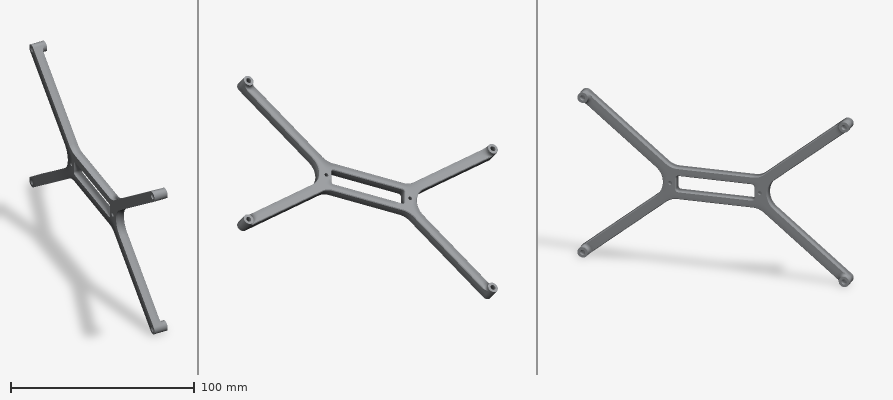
import cadquery as cq
import math

tip_x = 75.0
tip_z = 45.0
boss_radius = 3.0
boss_height = 8.0
boss_hole_diameter = 3.0
boss_fillet_radius = 1.5

plate_thickness = 5.0
back_edge_chamfer = 0.4
bar_half_height = 9.0
arm_width = 2 * boss_radius
arm_root_x = 25.0
arm_root_z = 5.0
shoulder_radius = 10.0
hub_half_length = 30.0

slot_length = 45.0
slot_height = 9.0
slot_corner_radius = 1.5
hub_hole_x = 25.7
hub_hole_diameter = 2.2

arm_angle = math.atan2(tip_z - arm_root_z, tip_x - arm_root_x)
arm_slope = math.tan(arm_angle)
edge_rise = arm_width / 2 / math.cos(arm_angle)
normal_x = math.sin(arm_angle) * arm_width / 2
normal_z = math.cos(arm_angle) * arm_width / 2
shoulder_x = arm_root_x + (bar_half_height - arm_root_z - edge_rise) / arm_slope
crotch_x = arm_root_x - (arm_root_z - edge_rise) / arm_slope

crotch_radius = (hub_half_length - crotch_x) / (1 / math.sin(arm_angle) - 1)

sides = (-1, 1)
tip_points = [(side_x * tip_x, side_z * tip_z) for side_x in sides for side_z in sides]
hub_points = [(side_x * hub_hole_x, 0) for side_x in sides]


def front_plane():
    """Plane of the front face: local axes +X and +Z, with its normal along -Y."""
    return cq.Workplane("XZ")


def extrude_back(sketch, depth):
    """Extrude a front-face outline toward +Y."""
    return sketch.extrude(-depth)


def cut_round_holes(body, points, diameter):
    """Cut straight through holes along Y."""
    holes = front_plane().pushPoints(points).circle(diameter / 2)
    return body.cut(extrude_back(holes, boss_height))


def make_half_frame(side):
    """One end of the frame: half of the bar, the hub and two arms with square ends at the tips."""
    outline = [
        (0, bar_half_height),
        (side * shoulder_x, bar_half_height),
        (side * (tip_x - normal_x), tip_z + normal_z),
        (side * (tip_x + normal_x), tip_z - normal_z),
        (side * crotch_x, 0),
    ]
    mirrored = [(x, -z) for x, z in reversed(outline[:-1])]
    half = extrude_back(front_plane().polyline(outline + mirrored).close(), plate_thickness)

    def edge_at(x, z):
        """Select the edge along Y at the given distance from the middle of the bar."""
        return cq.selectors.NearestToPointSelector((side * x, plate_thickness / 2, z))

    half = half.edges(edge_at(crotch_x, 0)).fillet(crotch_radius)
    for z in (bar_half_height, -bar_half_height):
        half = half.edges(edge_at(shoulder_x, z)).fillet(shoulder_radius)
    return half


def make_boss_flare():
    """Concave flare at the foot of a boss, centred on the Y axis and solid down to the front face."""
    outer_radius = boss_radius + boss_fillet_radius
    top_y = plate_thickness + boss_fillet_radius
    arc_offset = boss_fillet_radius * (1 - math.cos(math.radians(45)))
    arc_middle = (boss_radius + arc_offset, plate_thickness + arc_offset)
    profile = (
        cq.Workplane("XY")
        .moveTo(0, 0)
        .lineTo(outer_radius, 0)
        .lineTo(outer_radius, plate_thickness)
        .threePointArc(arc_middle, (boss_radius, top_y))
        .lineTo(0, top_y)
        .close()
    )
    return profile.revolve(axisStart=(0, 0, 0), axisEnd=(0, 1, 0))


def make_arm_flare(side_x, side_z):
    """The part of a boss flare that fits the width of its arm, on the hub side of the boss."""
    length = boss_radius + boss_fillet_radius
    direction = math.degrees(math.atan2(side_z * math.sin(arm_angle), side_x * math.cos(arm_angle)))
    band = front_plane().transformed(rotate=(0, 0, direction)).center(-length / 2, 0)
    band = extrude_back(band.rect(length, arm_width), boss_height)
    return make_boss_flare().intersect(band).translate((side_x * tip_x, 0, side_z * tip_z))


def make_slot():
    """Rounded rectangular opening along the bar."""
    slot = extrude_back(front_plane().rect(slot_length, slot_height), plate_thickness)
    return slot.edges("|Y").fillet(slot_corner_radius)


frame = make_half_frame(-1).union(make_half_frame(1)).cut(make_slot())
frame = frame.faces(">Y").edges().chamfer(back_edge_chamfer)

bosses = extrude_back(front_plane().pushPoints(tip_points).circle(boss_radius), boss_height)
frame = frame.union(bosses)
for side_x in sides:
    for side_z in sides:
        frame = frame.union(make_arm_flare(side_x, side_z))

frame = cut_round_holes(frame, hub_points, hub_hole_diameter)
result = cut_round_holes(frame, tip_points, boss_hole_diameter)